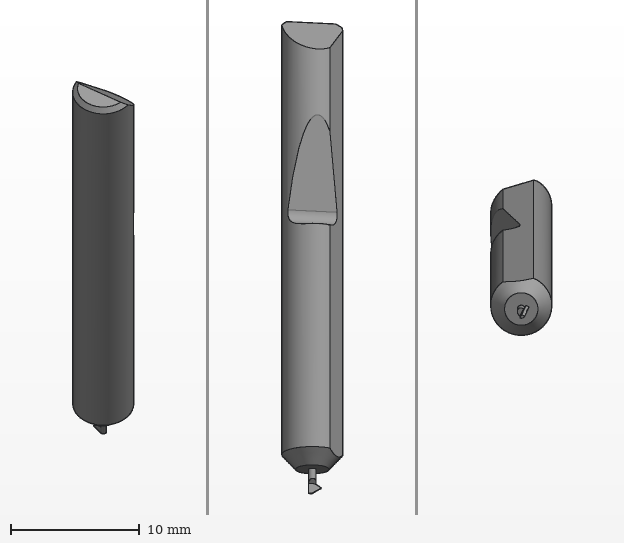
import cadquery as cq
import math

length = 38.1
shank_radius = 2.38
top_chamfer = 0.4

cone_bottom_z = 1.9
cone_height = 1.2
cone_bottom_radius = 1.3
shank_bottom_z = cone_bottom_z + cone_height

slope_edge_y = -0.55

flat_distance = 2.05
flat_angle = 145.0

notch_bottom_z = 21.1
notch_top_z = 29.87
notch_floor_angle = 10.0
notch_fillet = 1.15

neck_radius = 0.3
relief_y = -0.05
relief_bottom_z = 0.75
tooth_reach = 0.72
tooth_point_z = 0.45
tooth_top_z = 0.72

cutter_size = 4 * shank_radius


def make_shank():
    """Turned body: cone, cylinder and top chamfer."""
    profile = [
        (0, cone_bottom_z),
        (cone_bottom_radius, cone_bottom_z),
        (shank_radius, shank_bottom_z),
        (shank_radius, length - top_chamfer),
        (shank_radius - top_chamfer, length),
        (0, length),
    ]
    return cq.Workplane("XZ").polyline(profile).close().revolve(360, (0, 0), (0, 1))


def extrude_across(outline):
    """Cutter with the given (y, z) outline, running across the shank along X."""
    return cq.Workplane("YZ").polyline(outline).close().extrude(cutter_size / 2, both=True)


def make_slope_cutter():
    run = 2 * shank_radius
    return extrude_across([
        (slope_edge_y, length),
        (slope_edge_y + run, length - run),
        (slope_edge_y + run, length),
    ])


def make_flat_cutter():
    return (
        cq.Workplane("XY")
        .box(cutter_size, cutter_size, length, centered=(False, True, False))
        .translate((flat_distance, 0, 0))
        .rotate((0, 0, 0), (0, 0, 1), flat_angle)
    )


def make_notch_cutter():
    depth = (notch_top_z - notch_bottom_z) * math.tan(math.radians(notch_floor_angle))
    root_y = shank_radius - depth
    outer_y = 2 * shank_radius
    outline = [
        (root_y, notch_bottom_z),
        (outer_y, notch_bottom_z),
        (outer_y, notch_top_z),
        (shank_radius, notch_top_z),
    ]
    root_edge = cq.selectors.NearestToPointSelector((0, root_y, notch_bottom_z))
    return extrude_across(outline).edges(root_edge).fillet(notch_fillet)


def make_cutting_end():
    """Round neck, halved near its tip, with a pointed tooth towards -X."""
    neck = cq.Workplane("XY").circle(neck_radius).extrude(cone_bottom_z)
    relief_rise = neck_radius * 2
    relief = extrude_across([
        (relief_y, 0),
        (relief_y, relief_bottom_z),
        (relief_y + relief_rise, relief_bottom_z + relief_rise),
        (relief_y + relief_rise, 0),
    ])
    tooth = (
        cq.Workplane("XZ", origin=(0, relief_y, 0))
        .polyline([
            (0, 0),
            (0, tooth_top_z),
            (-neck_radius, tooth_top_z),
            (-tooth_reach, tooth_point_z),
        ])
        .close()
        .extrude(neck_radius + relief_y)
    )
    below_tooth = (
        cq.Workplane("XZ")
        .polyline([(0, 0), (-tooth_reach, tooth_point_z), (-tooth_reach, 0)])
        .close()
        .extrude(neck_radius, both=True)
    )
    return neck.cut(relief).cut(below_tooth).union(tooth)


shank = make_shank().cut(make_slope_cutter()).cut(make_flat_cutter()).cut(make_notch_cutter())
result = shank.union(make_cutting_end())